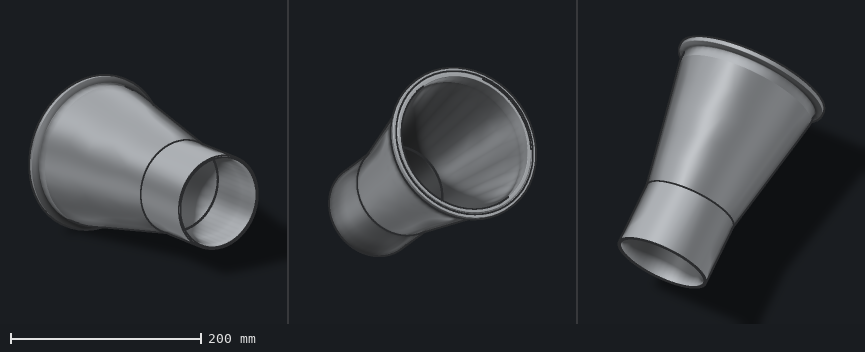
import cadquery as cq
import math

total_length = 228.5
neck_end = 19.2
cone_end = 158.6

wide_outer_diameter = 152.5
wide_bore_diameter = 146.8
narrow_outer_diameter = 101.5
narrow_bore_diameter = 97.4

flange_diameter = 166.9
rim_end = 5.7
back_angle = 20.0
rim_round = 0.7
back_round = 1.0
bore_round = 0.5

groove_mid_radius = 78.5
groove_round = 1.03
groove_lip_round = 0.7

wide_outer_radius = wide_outer_diameter / 2
wide_bore_radius = wide_bore_diameter / 2
narrow_outer_radius = narrow_outer_diameter / 2
narrow_bore_radius = narrow_bore_diameter / 2
flange_radius = flange_diameter / 2
wide_wall = wide_outer_radius - wide_bore_radius
cone_end_bore_radius = narrow_outer_radius - wide_wall
back_length = (flange_radius - wide_outer_radius) * math.tan(math.radians(back_angle))
back_end = rim_end + back_length


def revolve_about_x(profile):
    """Revolve a closed (x, radius) profile a full turn about the X axis."""
    return profile.revolve(360, (0, 0, 0), (1, 0, 0))


def corner(x, radius):
    """Selector for the section corner at the given axial position and radius."""
    return cq.selectors.NearestToPointSelector((x, radius, 0))


def reducer_section():
    """Section of the clamp flange, neck and cone as a face, with its groove and rounded corners."""
    groove_outer = groove_mid_radius + groove_round
    groove_inner = groove_mid_radius - groove_round
    section = (
        cq.Sketch()
        .segment((0, wide_bore_radius), (0, groove_inner))
        .arc((0, groove_inner), (groove_round, groove_mid_radius), (0, groove_outer))
        .segment((0, groove_outer), (0, flange_radius))
        .segment((rim_end, flange_radius))
        .segment((back_end, wide_outer_radius))
        .segment((neck_end, wide_outer_radius))
        .segment((cone_end, narrow_outer_radius))
        .segment((cone_end, cone_end_bore_radius))
        .segment((neck_end, wide_bore_radius))
        .close()
        .assemble()
    )
    corner_rounds = [
        (0, wide_bore_radius, bore_round),
        (0, groove_inner, groove_lip_round),
        (0, groove_outer, groove_lip_round),
        (0, flange_radius, rim_round),
        (rim_end, flange_radius, rim_round),
        (back_end, wide_outer_radius, back_round),
    ]
    for x, radius, round_radius in corner_rounds:
        section = section.reset().vertices(corner(x, radius)).fillet(round_radius)
    return section.reset()


def make_clamp_reducer():
    """Clamp flange and neck running into a cone with the same wall thickness."""
    return revolve_about_x(cq.Workplane("XY").placeSketch(reducer_section()))


def make_end_tube():
    """Straight tube on the narrow end, with a thinner wall than the cone it butts against."""
    return (
        cq.Workplane("YZ", origin=(cone_end, 0, 0))
        .circle(narrow_outer_radius)
        .circle(narrow_bore_radius)
        .extrude(total_length - cone_end)
    )


clamp_reducer = make_clamp_reducer()
end_tube = make_end_tube()

result = cq.Compound.makeCompound([clamp_reducer.val(), end_tube.val()])